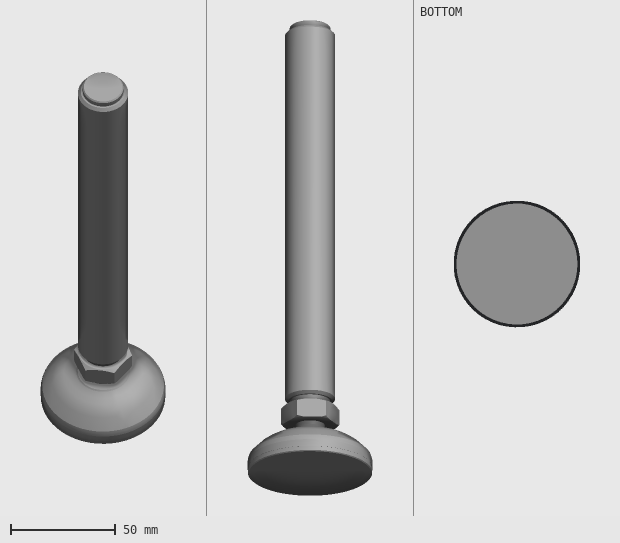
import cadquery as cq
import math

total_height = 229.2

foot_radius = 59.8 / 2
pad_inset = 0.11
pad_radius = foot_radius - pad_inset
pad_height = 2.5
pad_chamfer = 0.5
rim_height = 6.0
dome_base_height = 8.7
rim_bulge = 0.11
dome_base_radius = 29.0
dome_top_height = 19.0
dome_top_radius = 12.8
dome_lip_height = 19.5
dome_lip_radius = 12.1
dome_bulge = 1.5

neck_base_radius = 8.5
neck_radius = 14.2 / 2
neck_cone_top = 22.7

hex_across_flats = 24.3
hex_bottom = 24.5
hex_height = 9.6
hex_top = hex_bottom + hex_height
hex_corner_radius = hex_across_flats / 2 / math.cos(math.pi / 6)
hex_top_face_radius = 11.7
hex_bottom_face_radius = 12.8
hex_bevel_angle = math.radians(30)

shank_radius = 24.0 / 2
shank_bevel = 1.4
undercut_radius = 19.5 / 2
shank_bottom = 37.0
shank_top = 226.2
tip_radius = 19.5 / 2
tip_chamfer = 0.57


def revolve_profile(profile):
    """Turn a closed half-section (radius, height) about the Z axis."""
    return profile.close().revolve(360, (0, 0, 0), (0, 1, 0))


def arc_middle(start, end, bulge):
    """Middle point of an arc that bulges to the right of the way from start to end."""
    run = end[0] - start[0]
    rise = end[1] - start[1]
    chord = math.hypot(run, rise)
    return (
        (start[0] + end[0]) / 2 + bulge * rise / chord,
        (start[1] + end[1]) / 2 - bulge * run / chord,
    )


def make_foot():
    rim_edge = (foot_radius, rim_height)
    dome_base = (dome_base_radius, dome_base_height)
    dome_top = (dome_top_radius, dome_top_height)
    return revolve_profile(
        cq.Workplane("XZ")
        .lineTo(pad_radius - pad_chamfer, 0)
        .lineTo(pad_radius, pad_chamfer)
        .lineTo(pad_radius, pad_height)
        .lineTo(foot_radius, pad_height)
        .lineTo(*rim_edge)
        .threePointArc(arc_middle(rim_edge, dome_base, rim_bulge), dome_base)
        .threePointArc(arc_middle(dome_base, dome_top, dome_bulge), dome_top)
        .lineTo(dome_lip_radius, dome_lip_height)
        .lineTo(0, dome_lip_height)
    )


def make_neck():
    return revolve_profile(
        cq.Workplane("XZ")
        .moveTo(0, dome_lip_height)
        .lineTo(neck_base_radius, dome_lip_height)
        .lineTo(neck_radius, neck_cone_top)
        .lineTo(neck_radius, hex_bottom)
        .lineTo(0, hex_bottom)
    )


def make_hex():
    """Hexagonal prism whose corners are bevelled by a cone at both ends."""
    prism = (
        cq.Workplane("XY", origin=(0, 0, hex_bottom))
        .polygon(6, 2 * hex_corner_radius)
        .extrude(hex_height)
    )
    slope = math.tan(hex_bevel_angle)
    top_drop = (hex_corner_radius - hex_top_face_radius) * slope
    bottom_rise = (hex_corner_radius - hex_bottom_face_radius) * slope
    envelope = revolve_profile(
        cq.Workplane("XZ")
        .moveTo(0, hex_bottom)
        .lineTo(hex_bottom_face_radius, hex_bottom)
        .lineTo(hex_corner_radius, hex_bottom + bottom_rise)
        .lineTo(hex_corner_radius, hex_top - top_drop)
        .lineTo(hex_top_face_radius, hex_top)
        .lineTo(0, hex_top)
    )
    return prism.intersect(envelope)


def make_shank():
    return revolve_profile(
        cq.Workplane("XZ")
        .moveTo(0, hex_top)
        .lineTo(undercut_radius, hex_top)
        .lineTo(undercut_radius, shank_bottom)
        .lineTo(shank_radius - shank_bevel, shank_bottom)
        .lineTo(shank_radius, shank_bottom + shank_bevel)
        .lineTo(shank_radius, shank_top - shank_bevel)
        .lineTo(shank_radius - shank_bevel, shank_top)
        .lineTo(tip_radius, shank_top)
        .lineTo(tip_radius, total_height - tip_chamfer)
        .lineTo(tip_radius - tip_chamfer, total_height)
        .lineTo(0, total_height)
    )


result = make_foot().union(make_neck()).union(make_hex()).union(make_shank())